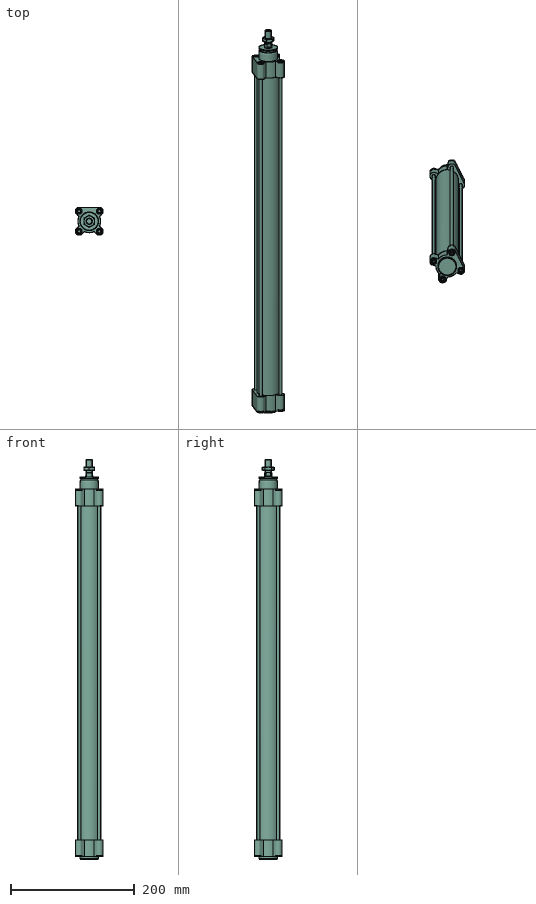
import cadquery as cq
import math

total_length = 645.1
thread_length = 21.0
rod_exposed_length = 27.0
cap_face_distance = 593.0
cap_height = 27.0
shoulder_z = total_length - thread_length
front_cap_top = shoulder_z - rod_exposed_length
front_cap_bottom = front_cap_top - cap_height
rear_cap_bottom = front_cap_top - cap_face_distance
rear_cap_top = rear_cap_bottom + cap_height

cap_width = 45.0
cap_core_diameter = 37.0
bolt_spacing = 32.5
lug_width = 12.5
lug_corner_radius = (cap_width - bolt_spacing) / 2
lug_side_radius = 3.0

screw_gap_diameter = 9.5
screw_head_diameter = 8.65
screw_gap_depth = 2.0
socket_mouth_diameter = 6.0
socket_diameter = 4.92
socket_depth = 12.0

barrel_diameter = 36.5
tie_rod_diameter = 5.3

boss_diameter = 30.0
front_boss_height = 19.3
boss_top = front_cap_top + front_boss_height
rear_boss_chamfer = 1.0
boss_collar_height = 2.0
groove_diameter = 27.0
groove_width = 3.0
shoulder_chamfer_width = 0.6
shoulder_chamfer_height = 3.5

rod_diameter = 12.0
rod_flat_width = 10.0
rod_flat_length = 6.0
rod_depth_in_housing = 40.0
rod_bottom = boss_top - rod_depth_in_housing
thread_diameter = 10.0
thread_tip_diameter = 8.57

nut_across_flats = 17.0
nut_height = 5.0
nut_bottom = total_length - 17.7
nut_top = nut_bottom + nut_height
nut_chamfer_angle = 30.0


def disc(diameter, bottom, top):
    """Upright cylinder on the main axis."""
    return cq.Workplane("XY", origin=(0, 0, bottom)).circle(diameter / 2).extrude(top - bottom)


def bolt_points(z):
    """The four tie rod positions at height z."""
    plane = cq.Workplane("XY", origin=(0, 0, z))
    return plane.rect(bolt_spacing, bolt_spacing, forConstruction=True).vertices()


def lug_bar(angle, bottom):
    """Diagonal bar through the axis, ending in two opposite rounded lugs."""
    square = cq.Workplane("XY", origin=(0, 0, bottom)).rect(cap_width, cap_width).extrude(cap_height)
    square = square.edges("|Z").fillet(lug_corner_radius)
    band = cq.Workplane("XY", origin=(0, 0, bottom)).rect(2 * cap_width, lug_width).extrude(cap_height)
    bar = square.intersect(band.rotate((0, 0, 0), (0, 0, 1), angle))
    side = lug_width / math.sqrt(2)
    half = cap_width / 2
    for sx in (-1, 1):
        sy = sx if angle == 45 else -sx
        for x, y in ((half, half - side), (half - side, half)):
            selector = cq.selectors.NearestToPointSelector((sx * x, sy * y, bottom + cap_height / 2))
            bar = bar.edges(selector).fillet(lug_side_radius)
    return bar


def end_cap(bottom):
    """Round core with four corner lugs, filled out to a flat side towards +Y."""
    core = disc(cap_core_diameter, bottom, bottom + cap_height)
    flat_side = (
        cq.Workplane("XY", origin=(0, cap_width / 4, bottom))
        .rect(bolt_spacing, cap_width / 2)
        .extrude(cap_height)
    )
    return core.union(lug_bar(45, bottom)).union(lug_bar(135, bottom)).union(flat_side)


def cut_screw_ends(housing, face_z, inward):
    """Ring gap around each screw head and a stepped socket in its middle."""
    gap = bolt_points(face_z).circle(screw_gap_diameter / 2).circle(screw_head_diameter / 2)
    housing = housing.cut(gap.extrude(inward * screw_gap_depth))
    mouth = bolt_points(face_z).circle(socket_mouth_diameter / 2).extrude(inward * screw_gap_depth)
    socket = bolt_points(face_z).circle(socket_diameter / 2).extrude(inward * socket_depth)
    return housing.cut(mouth).cut(socket)


def front_boss():
    """Boss with a grooved neck below a thin collar."""
    r = boss_diameter / 2
    groove_r = groove_diameter / 2
    collar_z = boss_top - boss_collar_height
    groove_z = collar_z - groove_width
    return (
        cq.Workplane("XZ")
        .moveTo(0, front_cap_top)
        .lineTo(r, front_cap_top)
        .lineTo(r, groove_z - shoulder_chamfer_height)
        .lineTo(r - shoulder_chamfer_width, groove_z)
        .lineTo(groove_r, groove_z)
        .lineTo(groove_r, collar_z)
        .lineTo(r, collar_z)
        .lineTo(r, boss_top)
        .lineTo(0, boss_top)
        .close()
        .revolve(360, (0, 0, 0), (0, 1, 0))
    )


def make_housing():
    housing = end_cap(rear_cap_bottom).union(end_cap(front_cap_bottom))
    housing = housing.union(disc(barrel_diameter, rear_cap_top, front_cap_bottom))
    tie_rods = bolt_points(rear_cap_top).circle(tie_rod_diameter / 2).extrude(front_cap_bottom - rear_cap_top)
    housing = housing.union(tie_rods)
    rear_boss = disc(boss_diameter, 0, rear_cap_bottom).faces("<Z").chamfer(rear_boss_chamfer)
    housing = housing.union(front_boss()).union(rear_boss)
    housing = cut_screw_ends(housing, front_cap_top, -1)
    housing = cut_screw_ends(housing, rear_cap_bottom, 1)
    return housing.cut(disc(rod_diameter, rod_bottom, boss_top))


def make_rod():
    rod = disc(rod_diameter, rod_bottom, shoulder_z).faces(">Z").chamfer((rod_diameter - thread_diameter) / 2)
    flat_depth = (rod_diameter - rod_flat_width) / 2
    for side in (-1, 1):
        cutter = cq.Workplane("XY", origin=(side * (rod_flat_width + flat_depth) / 2, 0, shoulder_z))
        rod = rod.cut(cutter.rect(flat_depth, rod_diameter).extrude(-rod_flat_length))
    tip_chamfer = (thread_diameter - thread_tip_diameter) / 2
    thread = disc(thread_diameter, shoulder_z, total_length).faces(">Z").chamfer(tip_chamfer)
    return rod.union(thread)


def make_nut():
    """Hexagon with flats facing +-X and both ends chamfered at the corners."""
    flat_r = nut_across_flats / 2
    corner_r = flat_r / math.cos(math.pi / 6)
    drop = (corner_r - flat_r) * math.tan(math.radians(nut_chamfer_angle))
    hexagon = cq.Workplane("XY", origin=(0, 0, nut_bottom)).polygon(6, 2 * corner_r).extrude(nut_height)
    hexagon = hexagon.rotate((0, 0, 0), (0, 0, 1), 90)
    turned = (
        cq.Workplane("XZ")
        .moveTo(0, nut_bottom)
        .lineTo(flat_r, nut_bottom)
        .lineTo(corner_r, nut_bottom + drop)
        .lineTo(corner_r, nut_top - drop)
        .lineTo(flat_r, nut_top)
        .lineTo(0, nut_top)
        .close()
        .revolve(360, (0, 0, 0), (0, 1, 0))
    )
    return hexagon.intersect(turned).cut(disc(thread_diameter, nut_bottom, nut_top))


housing = make_housing()
rod = make_rod()
nut = make_nut()
result = cq.Compound.makeCompound([housing.val(), rod.val(), nut.val()])